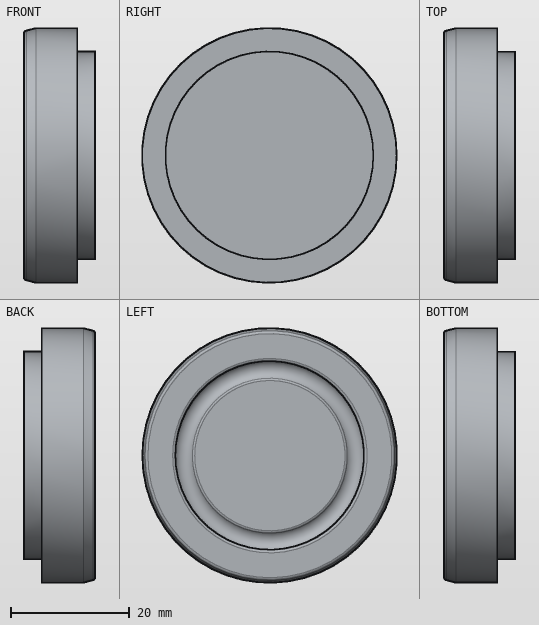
import cadquery as cq
import math


rim_diameter = 42.9
rim_length = 9.0
boss_diameter = 35.0
boss_length = 3.0

taper_length = 2.0
taper_angle = math.radians(15)
edge_round = 0.5

opening_radius = 16.37
lip_round = 0.5
disc_radius = 12.65
disc_depth = 2.3
disc_round = 0.5
groove_radius = 1.7


def point_on_circle(center, radius, angle):
    """Point (x, r) at an angle measured from the +X direction."""
    return (center[0] + radius * math.cos(angle), center[1] + radius * math.sin(angle))


def direction(start, end):
    """Angle of the line from start to end, measured from the +X direction."""
    return math.atan2(end[1] - start[1], end[0] - start[0])


def groove_center(lip_center, disc_edge_center):
    """Center of the groove circle that is tangent to both edge rounds."""
    to_lip = groove_radius + lip_round
    to_disc = groove_radius + disc_round
    span = math.dist(lip_center, disc_edge_center)
    cos_at_lip = (to_lip**2 + span**2 - to_disc**2) / (2 * to_lip * span)
    angle = direction(lip_center, disc_edge_center) - math.acos(cos_at_lip)
    return point_on_circle(lip_center, to_lip, angle)


def add_arc(profile, center, radius, start_angle, end_angle):
    """Extend the profile by an arc that starts at its current point."""
    middle = point_on_circle(center, radius, (start_angle + end_angle) / 2)
    end = point_on_circle(center, radius, end_angle)
    return profile.threePointArc(middle, end)


def add_recess(profile):
    """Sunken disc, groove and rounded lip, drawn from the axis outward."""
    disc_edge_center = (disc_depth + disc_round, disc_radius)
    lip_center = (lip_round, opening_radius)
    center = groove_center(lip_center, disc_edge_center)
    toward_disc = direction(center, disc_edge_center)
    toward_lip = direction(center, lip_center)

    profile = profile.lineTo(disc_depth, disc_radius)
    profile = add_arc(profile, disc_edge_center, disc_round, math.pi, toward_disc + math.pi)
    profile = add_arc(profile, center, groove_radius, toward_disc, toward_lip)
    return add_arc(profile, lip_center, lip_round, toward_lip - math.pi, -math.pi)


def add_outer_edge(profile):
    """Rounded edge of the face and the taper up to the rim."""
    rim_radius = rim_diameter / 2
    taper_normal = math.pi / 2 + taper_angle
    taper_face_radius = rim_radius - taper_length * math.tan(taper_angle)
    center_r = taper_face_radius + edge_round * (math.tan(taper_angle) - 1 / math.cos(taper_angle))
    center = (edge_round, center_r)

    profile = profile.lineTo(0, center_r)
    profile = add_arc(profile, center, edge_round, math.pi, taper_normal)
    return profile.lineTo(taper_length, rim_radius)


def make_part():
    total_length = rim_length + boss_length
    profile = cq.Workplane("XY").moveTo(disc_depth, 0)
    profile = add_recess(profile)
    profile = add_outer_edge(profile)
    profile = (
        profile.lineTo(rim_length, rim_diameter / 2)
        .lineTo(rim_length, boss_diameter / 2)
        .lineTo(total_length, boss_diameter / 2)
        .lineTo(total_length, 0)
        .close()
    )
    return profile.revolve(360, (0, 0, 0), (1, 0, 0))


result = make_part()